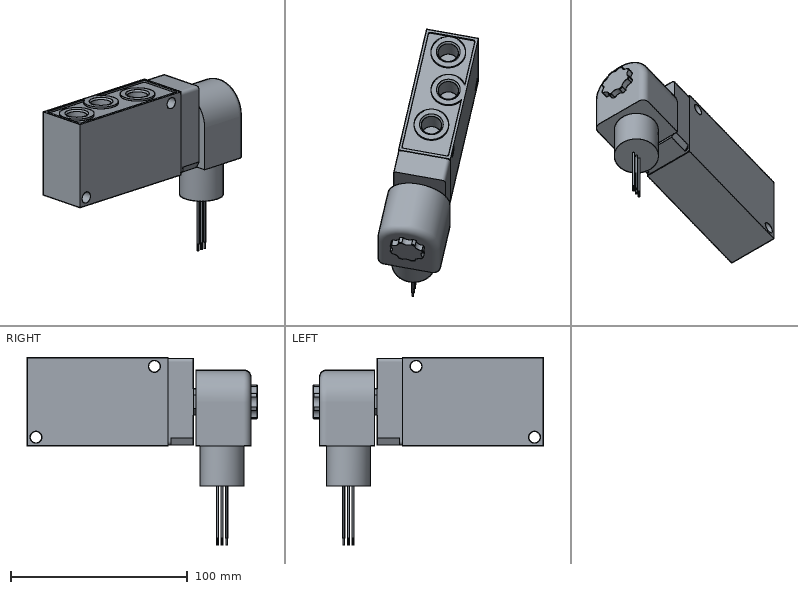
import cadquery as cq
import math


width = 30.0
block_length = 79.9
block_height = 50.0
rim = 1.5
pocket_depth = 1.0
pocket_corner_radius = 1.2
boss_diameter = 19.7
port_diameter = 11.5
port_mouth_diameter = 13.4
port_depth = 13.0
port_pitch = 24.0
first_port_y = 12.0
middle_port_offset = 5.0
mount_hole_diameter = 6.5
mount_hole_inset = 5.0
mount_hole_back_inset = 7.8

cap_length = 14.2
cap_step = 0.45
cap_corner_radius = 2.1
bevel_width = 2.2
bevel_height = 3.9
cap_flange = 1.4

axis_z = 25.0
hex_across_flats = 13.0
hex_length = 1.4
coil_width = 36.0
coil_length = 31.3
coil_edge_radius = 4.0
conduit_diameter = 25.0
conduit_length = 22.8
conduit_back_inset = 16.4
wire_diameter = 1.3
wire_length = 29.5
wire_pitch = 2.6
wire_count = 3
strand_diameter = 1.0
strand_length = 3.9
nut_diameter = 20.1
nut_length = 3.5
nut_edge_chamfer = 0.4
flute_count = 8
flute_diameter = 7.2
flute_circle_radius = 11.9

cap_back = block_length + cap_length
coil_front = cap_back + hex_length
coil_back = coil_front + coil_length

port_centers = [
    (0, first_port_y),
    (-middle_port_offset, first_port_y + port_pitch),
    (0, first_port_y + 2 * port_pitch),
]


def horizontal_plane(z):
    """Sketch plane facing +Z at height z."""
    return cq.Workplane("XY", origin=(0, 0, z))


def cross_plane(y, z=0):
    """Sketch plane facing +Y; its local x runs along +X and its local y along -Z."""
    return cq.Workplane(cq.Plane(origin=(0, y, z), xDir=(1, 0, 0), normal=(0, 1, 0)))


def top_pocket():
    """Shallow rounded pocket that leaves the port bosses standing flush with the rim."""
    floor = horizontal_plane(block_height - pocket_depth)
    pocket = (
        floor.center(0, block_length / 2)
        .rect(width - 2 * rim, block_length - 2 * rim)
        .extrude(pocket_depth)
        .edges("|Z")
        .fillet(pocket_corner_radius)
    )
    bosses = floor.pushPoints(port_centers).circle(boss_diameter / 2).extrude(pocket_depth)
    return pocket.cut(bosses)


def port(center):
    """Blind port bore with a 45 degree countersunk mouth."""
    mouth_radius = port_mouth_diameter / 2
    bore_radius = port_diameter / 2
    profile = [
        (0, 0),
        (mouth_radius, 0),
        (bore_radius, bore_radius - mouth_radius),
        (bore_radius, -port_depth),
        (0, -port_depth),
    ]
    x, y = center
    return (
        cq.Workplane("XZ", origin=(x, y, block_height))
        .polyline(profile)
        .close()
        .revolve(360, (0, 0, 0), (0, 1, 0))
    )


def make_block():
    block = cq.Workplane("XY").box(width, block_length, block_height, centered=(True, False, False))
    block = block.cut(top_pocket())
    for center in port_centers:
        block = block.cut(port(center))
    mount_holes = (
        cq.Workplane("YZ", origin=(-width / 2, 0, 0))
        .pushPoints([
            (mount_hole_inset, mount_hole_inset),
            (block_length - mount_hole_back_inset, block_height - mount_hole_inset),
        ])
        .circle(mount_hole_diameter / 2)
        .extrude(width)
    )
    return block.cut(mount_holes)


def make_cap():
    """Rounded cap behind the block, with both lower edges bevelled up to a thin flange."""
    cap = (
        cq.Workplane("XY", origin=(0, block_length, cap_step))
        .box(width, cap_length, block_height - 2 * cap_step, centered=(True, False, False))
        .edges("|Y")
        .fillet(cap_corner_radius)
    )
    for side in (-1, 1):
        corner_x = side * width / 2
        bevel = (
            cross_plane(block_length + cap_flange)
            .polyline([
                (corner_x, -cap_step),
                (corner_x, -cap_step - bevel_height),
                (corner_x - side * bevel_width, -cap_step),
            ])
            .close()
            .extrude(cap_length - cap_flange)
        )
        cap = cap.cut(bevel)
    return cap


def make_coil():
    """Coil housing with a half-round top and a rounded back edge."""
    radius = coil_width / 2
    return (
        cross_plane(coil_front)
        .moveTo(-radius, 0)
        .lineTo(-radius, -axis_z)
        .threePointArc((0, -axis_z - radius), (radius, -axis_z))
        .lineTo(radius, 0)
        .close()
        .extrude(coil_length)
        .faces(">Y")
        .edges("not <Z")
        .fillet(coil_edge_radius)
    )


def make_nut():
    """Round nut on the back of the coil, with concave flutes around its rim."""
    nut = (
        cross_plane(coil_back, axis_z)
        .circle(nut_diameter / 2)
        .extrude(nut_length)
        .faces(">Y")
        .chamfer(nut_edge_chamfer)
    )
    flutes = (
        cross_plane(coil_back, axis_z)
        .polarArray(flute_circle_radius, 0, 360, flute_count)
        .circle(flute_diameter / 2)
        .extrude(nut_length)
    )
    return nut.cut(flutes)


def make_conduit():
    """Conduit hub under the coil with a row of stripped lead wires."""
    center_y = coil_back - conduit_back_inset
    conduit = horizontal_plane(0).center(0, center_y).circle(conduit_diameter / 2).extrude(-conduit_length)
    for index in range(wire_count):
        wire_y = center_y + (index - (wire_count - 1) / 2) * wire_pitch
        wire = (
            horizontal_plane(-conduit_length)
            .center(0, wire_y)
            .circle(wire_diameter / 2)
            .extrude(-wire_length)
        )
        strand = (
            horizontal_plane(-conduit_length - wire_length)
            .center(0, wire_y)
            .circle(strand_diameter / 2)
            .extrude(-strand_length)
        )
        conduit = conduit.union(wire).union(strand)
    return conduit


def make_solenoid():
    """Coil with its hexagonal base, conduit hub, wires and nut, as one body."""
    hex_across_corners = hex_across_flats / math.cos(math.pi / 6)
    hex_base = (
        cross_plane(cap_back, axis_z)
        .transformed(rotate=(0, 0, 90))
        .polygon(6, hex_across_corners)
        .extrude(hex_length)
    )
    return make_coil().union(hex_base).union(make_conduit()).union(make_nut())


block = make_block()
cap = make_cap()
solenoid = make_solenoid()

result = cq.Compound.makeCompound([block.val(), cap.val(), solenoid.val()])